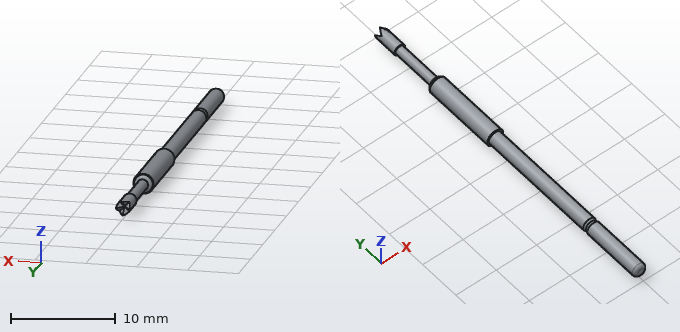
import cadquery as cq
import math

total_length = 39.3
tip_y = total_length / 2
tail_y = -total_length / 2

head_diameter = 1.35
head_length = 3.0
tooth_depth = 0.83

shaft_diameter = 1.05
nose_front_y = tip_y - 8.35

nose_diameter = 1.8
nose_length = 0.35
nose_rounding = 0.3
collar_diameter = 2.0
collar_length = 8.7

barrel_diameter = 1.57
tail_rounding = 0.4
groove_front_y = tip_y - 31.55
groove_width = 0.63
groove_depth = 0.1
groove_front_slope_length = 0.28


def cylinder(diameter, start_y, end_y):
    """Solid rod along Y from start_y up to end_y."""
    return cq.Workplane("XZ", origin=(0, end_y, 0)).circle(diameter / 2).extrude(end_y - start_y)


def crown_cut(angle):
    """V-groove across the tip, turned about Y by the given angle."""
    half_width = head_diameter / 2 * math.sin(math.pi / 4)
    return (
        cq.Workplane("XY")
        .polyline([(-half_width, tip_y), (half_width, tip_y), (0, tip_y - tooth_depth)])
        .close()
        .extrude(head_diameter, both=True)
        .rotate((0, 0, 0), (0, 1, 0), angle)
    )


def groove_ring():
    """Ring of material removed by the V-shaped barrel groove."""
    radius = barrel_diameter / 2
    back_y = groove_front_y - groove_width
    bottom_y = groove_front_y - groove_front_slope_length
    return (
        cq.Workplane("XY")
        .moveTo(radius, groove_front_y)
        .lineTo(radius - groove_depth, bottom_y)
        .lineTo(radius, back_y)
        .lineTo(collar_diameter / 2, back_y)
        .lineTo(collar_diameter / 2, groove_front_y)
        .close()
        .revolve(360, (0, 0, 0), (0, 1, 0))
    )


head_back_y = tip_y - head_length
head = cylinder(head_diameter, head_back_y, tip_y)
for angle in (45, -45):
    head = head.cut(crown_cut(angle))

shaft = cylinder(shaft_diameter, nose_front_y, head_back_y)

collar_front_y = nose_front_y - nose_length
collar_back_y = collar_front_y - collar_length
nose = cylinder(nose_diameter, collar_front_y, nose_front_y).faces(">Y").edges().fillet(nose_rounding)
collar = cylinder(collar_diameter, collar_back_y, collar_front_y)

barrel = cylinder(barrel_diameter, tail_y, collar_back_y).faces("<Y").edges().fillet(tail_rounding)
barrel = barrel.cut(groove_ring())

result = head.union(shaft).union(nose).union(collar).union(barrel)